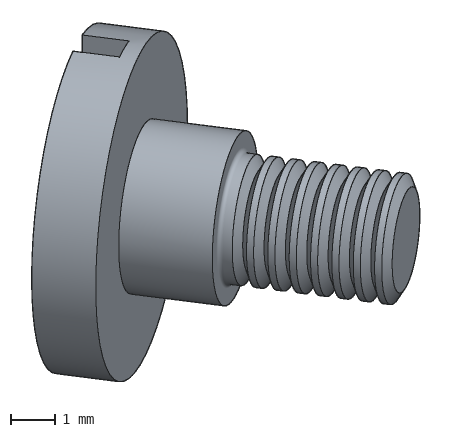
import cadquery as cq
import math


head_diameter = 8.0
head_length = 1.5
slot_width = 0.8
slot_depth = 1.1

shoulder_diameter = 4.0
shoulder_length = 2.19

thread_diameter = 3.0
thread_length = 4.0
ridge_count = 8
flank_angle = 30.0
neck_fillet = 0.1

pitch = thread_length / ridge_count
flank_length = pitch / 3
thread_depth = flank_length / math.tan(math.radians(flank_angle))
crest_radius = thread_diameter / 2
root_radius = crest_radius - thread_depth

shoulder_end = head_length + shoulder_length
total_length = shoulder_end + thread_length


def make_cylinder(start, length, diameter):
    return cq.Workplane("YZ", origin=(start, 0, 0)).circle(diameter / 2).extrude(length)


def make_thread():
    """Revolve the ridged profile; the first ridge joins the shoulder with a concave fillet."""
    profile = (
        cq.Workplane("XY")
        .moveTo(shoulder_end, 0)
        .lineTo(shoulder_end, crest_radius + neck_fillet)
        .radiusArc((shoulder_end + neck_fillet, crest_radius), -neck_fillet)
    )
    for ridge in range(ridge_count):
        ridge_start = shoulder_end + ridge * pitch
        ridge_end = ridge_start + pitch
        if ridge > 0:
            profile = profile.lineTo(ridge_start + flank_length, crest_radius)
        profile = profile.lineTo(ridge_end - flank_length, crest_radius)
        profile = profile.lineTo(ridge_end, root_radius)
    profile = profile.lineTo(total_length, 0).close()
    return profile.revolve(360, (0, 0, 0), (1, 0, 0))


def make_slot():
    """Driver slot running across the whole head along Z."""
    return cq.Workplane("XY").box(
        slot_depth, slot_width, head_diameter, centered=(False, True, True)
    )


head = make_cylinder(0, head_length, head_diameter).cut(make_slot())
shoulder = make_cylinder(head_length, shoulder_length, shoulder_diameter)
result = head.union(shoulder).union(make_thread())